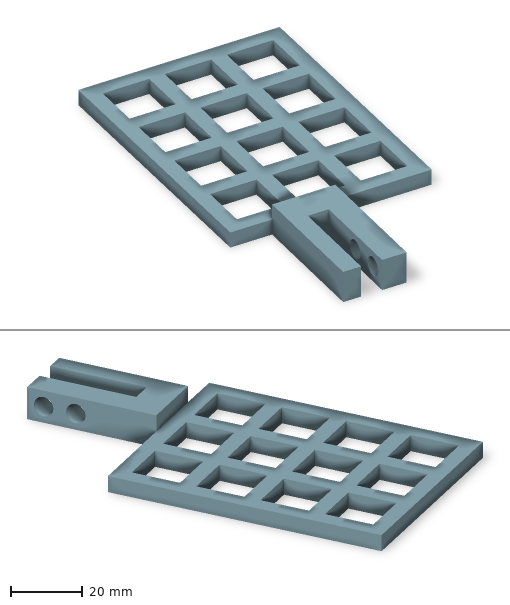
import cadquery as cq
import math

total_length = 125.4
grid_width = 65.0
grid_thickness = 5

columns = 4
rows = 3
window_to_rib = 3
rib = grid_width / (rows * window_to_rib + rows + 1)
window = window_to_rib * rib
pitch = window + rib
grid_length = columns * window + (columns + 1) * rib

handle_width = 20.4
handle_height = 10
handle_top_offset = 1.4
handle_tilt = -0.3
handle_overlap = 0.6
handle_length = (total_length - grid_length) / math.cos(math.radians(handle_tilt))

slot_start = 10.2
slot_width = 6.8
thick_prong = 7.9

hole_diameter = 6.0
hole_spacing = 10
first_hole = slot_start + 14.9


def make_grid():
    plate = cq.Workplane("XY").box(grid_length, grid_width, grid_thickness, centered=(False, True, False))
    windows = (
        cq.Workplane("XY")
        .center(grid_length / 2, 0)
        .rarray(pitch, pitch, columns, rows)
        .rect(window, window)
        .extrude(grid_thickness)
    )
    return plate.cut(windows)


def make_handle():
    """Build the fork with its inner +Y corner at the origin, then place it."""
    body = (
        cq.Workplane("XY")
        .box(handle_length + handle_overlap, handle_width, handle_height, centered=False)
        .translate((-handle_overlap, -handle_width, 0))
    )
    slot = (
        cq.Workplane("XY")
        .box(handle_length - slot_start, slot_width, handle_height, centered=False)
        .translate((slot_start, -thick_prong - slot_width, 0))
    )
    holes = (
        cq.Workplane("XZ")
        .pushPoints([(first_hole + i * hole_spacing, handle_height / 2) for i in range(2)])
        .circle(hole_diameter / 2)
        .extrude(thick_prong)
    )
    handle = body.cut(slot).cut(holes)
    handle = handle.rotate((0, 0, 0), (0, 0, 1), handle_tilt).translate((grid_length, handle_top_offset, 0))
    grid_side = cq.Workplane("XY").box(grid_length, grid_width, handle_height, centered=(False, True, False))
    return handle.cut(grid_side)


result = make_grid().union(make_handle())